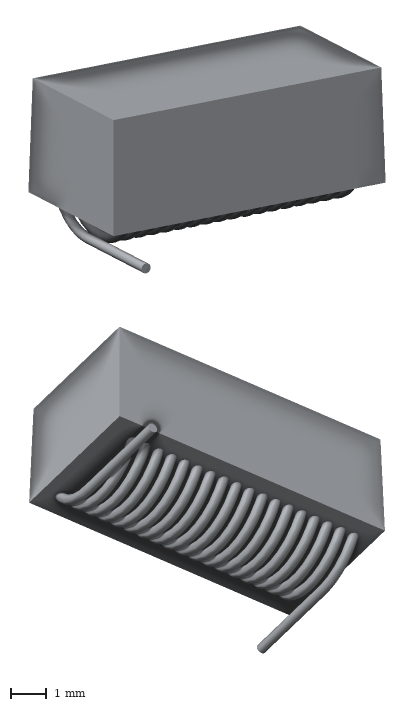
import cadquery as cq

HOUSING_WIDTH = 4.57
HOUSING_LENGTH = 9.0
TOP_WIDTH = 4.34
TOP_LENGTH = 8.86
HOUSING_BOTTOM = 0.945
OVERALL_HEIGHT = 4.35
HOUSING_HEIGHT = OVERALL_HEIGHT - HOUSING_BOTTOM

WIRE_DIAMETER = 0.3
WIRE_RADIUS = WIRE_DIAMETER / 2
COIL_RADIUS = 1.94
COIL_PITCH = 0.44
COIL_TURNS = 18
COIL_LENGTH = COIL_PITCH * COIL_TURNS
COIL_AXIS_Z = WIRE_RADIUS + COIL_RADIUS
LEAD_SPAN = 6.34
LEAD_LENGTH = LEAD_SPAN / 2


def make_winding():
    """Right-handed helix that starts and ends at the bottom of the coil."""
    path = cq.Wire.makeHelix(COIL_PITCH, COIL_LENGTH, COIL_RADIUS)
    winding = (
        cq.Workplane("XZ", origin=(COIL_RADIUS, 0, 0))
        .circle(WIRE_RADIUS)
        .sweep(cq.Workplane(path), isFrenet=True)
    )
    return (
        winding.rotate((0, 0, 0), (1, 0, 0), -90)
        .rotate((0, 0, 0), (0, 1, 0), 90)
        .translate((0, -COIL_LENGTH / 2, COIL_AXIS_Z))
    )


def make_lead(side):
    """Straight wire along X: side +1 is the +X lead at the -Y end, -1 its opposite."""
    return (
        cq.Workplane("YZ", origin=(0, -side * COIL_LENGTH / 2, WIRE_RADIUS))
        .circle(WIRE_RADIUS)
        .extrude(side * LEAD_LENGTH)
    )


def make_coil():
    """One continuous wire: the winding with a lead at each end."""
    wire = make_winding()
    for side in (1, -1):
        wire = wire.union(make_lead(side))
    return wire


def make_housing(coil):
    """Tapered block moulded around the upper part of the coil."""
    block = (
        cq.Workplane("XY", origin=(0, 0, HOUSING_BOTTOM))
        .rect(HOUSING_WIDTH, HOUSING_LENGTH)
        .workplane(offset=HOUSING_HEIGHT)
        .rect(TOP_WIDTH, TOP_LENGTH)
        .loft(ruled=True)
    )
    return block.cut(coil)


coil = make_coil()
housing = make_housing(coil)
result = cq.Compound.makeCompound([*housing.vals(), *coil.vals()])